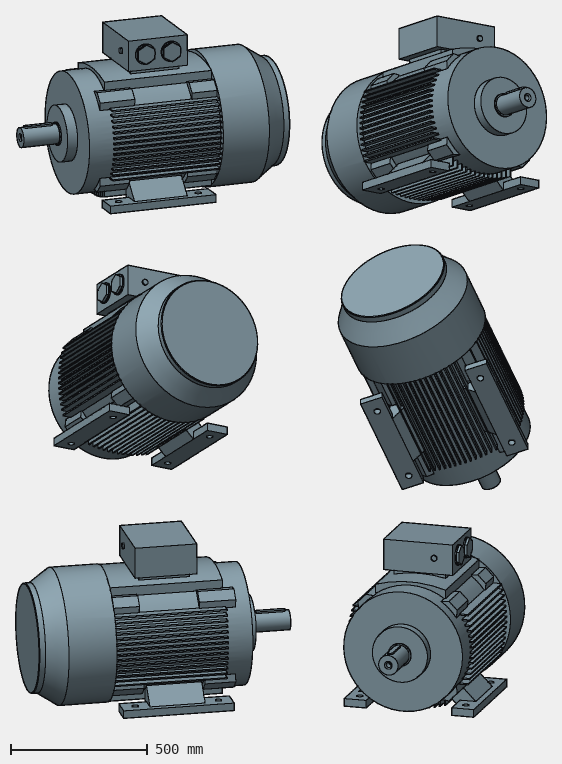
import cadquery as cq
import math


SHAFT_LENGTH = 140.0
SHOULDER_WIDTH = 5.0
SHIELD_FRONT_Y = 44.0
FIN_FRONT_Y = 138.0
COWL_FRONT_Y = 558.0
CONE_START_Y = 739.0
CONE_END_Y = 815.0
OVERALL_LENGTH = 979.5
COWL_REAR_Y = OVERALL_LENGTH - SHAFT_LENGTH

BODY_RADIUS = 227.0
BOSS_RADIUS = 211.0 / 2
COWL_RADIUS = 508.0 / 2
LIP_RADIUS = 406.5 / 2
LIP_CHAMFER = 3.0

CROWN_WIDTH = 268.0
CROWN_EDGE_HEIGHT = 219.0
CROWN_TOP_HEIGHT = 240.0
FIN_COUNT = 14
FIN_THICKNESS = 5.0
FIN_PITCH = (CROWN_WIDTH - FIN_THICKNESS) / (FIN_COUNT - 1)
FINNED_SIDE_ANGLES = (90, 180, 270)

LUG_REACH = 190.0
LUG_CHAMFER = 31.0
LUG_ROOT_REACH = 187.0
LUG_ROOT_OFFSET = 129.0
LUG_FRONT_Y = 100.0
UPPER_LUG_ENDS = (236.0, 460.0)
LOWER_LUG_ENDS = (215.5, 443.0)

FOOT_BOTTOM_Z = -250.0
FOOT_THICKNESS = 29.0
FOOT_INNER_X = 164.0
FOOT_OUTER_X = 248.0
FOOT_LENGTH = 414.0
FOOT_CENTRE_Y = 325.0
FOOT_HOLE_DIAMETER = 23.5
FOOT_HOLE_X = 203.0
FOOT_HOLE_SPACING = 311.0
FOOT_HOLE_CENTRE_Y = 323.0
LEG_OUTER_X = 224.0
LEG_LENGTH = 207.0
LEG_RISE = 127.0

BOX_WIDTH = 264.0
BOX_LENGTH = 231.0
BOX_CENTRE_Y = 349.0
BOX_BOTTOM_Z = 249.0
OVERALL_HEIGHT = 619.0
BOX_TOP_Z = OVERALL_HEIGHT - COWL_RADIUS
PEDESTAL_WIDTH = 198.0
PEDESTAL_LENGTH = 189.0
FITTING_Z = 310.0
SCREW_X = 62.0
SCREW_RADIUS = 11.0
SCREW_HEIGHT = 6.0

GLAND_SPACING = 101.0
GLAND_DIAMETER = 76.0
GLAND_NUT_DIAMETER = 74.0
GLAND_FLANGE_THICKNESS = 5.0
GLAND_NUT_THICKNESS = 10.0

SHAFT_RADIUS = 37.0
SHOULDER_RADIUS = 43.0
KEY_WIDTH = 20.0
KEY_LENGTH = 113.0
KEY_TOP_Z = 42.0
KEY_CENTRE_Y = -71.0
CENTRE_HOLE_RADIUS = 10.0
CENTRE_HOLE_DEPTH = 39.0
CENTRE_CONE_RADIUS = 15.0
CENTRE_CONE_DEPTH = 5.0
DRILL_TIP_SLOPE = 30
DRILL_TIP_DEPTH = CENTRE_HOLE_RADIUS * math.tan(math.radians(DRILL_TIP_SLOPE))


def box_between(x_range, y_range, z_range):
    """A block spanning the given ranges."""
    size = [high - low for low, high in (x_range, y_range, z_range)]
    corner = (x_range[0], y_range[0], z_range[0])
    return cq.Workplane("XY").box(*size, centered=False).translate(corner)


def along_y(outline, y_start, y_end):
    """Extrude an outline drawn on the XZ plane from y_start to y_end."""
    return outline.extrude(-(y_end - y_start)).translate((0, y_start, 0))


def turned_casing():
    """End shield, boss, stator core and fan cowl, turned about the motor axis."""
    return (
        cq.Workplane("YZ")
        .moveTo(SHOULDER_WIDTH, 0)
        .lineTo(SHOULDER_WIDTH, BOSS_RADIUS)
        .lineTo(SHIELD_FRONT_Y, BOSS_RADIUS)
        .lineTo(SHIELD_FRONT_Y, BODY_RADIUS)
        .lineTo(COWL_FRONT_Y, BODY_RADIUS)
        .lineTo(COWL_FRONT_Y, COWL_RADIUS)
        .lineTo(CONE_START_Y, COWL_RADIUS)
        .lineTo(CONE_END_Y, LIP_RADIUS)
        .lineTo(COWL_REAR_Y - LIP_CHAMFER, LIP_RADIUS)
        .lineTo(COWL_REAR_Y, LIP_RADIUS - LIP_CHAMFER)
        .lineTo(COWL_REAR_Y, 0)
        .close()
        .revolve(360, (0, 0, 0), (1, 0, 0))
    )


def top_plate():
    """Solid crowned plate on top of the stator core."""
    half = CROWN_WIDTH / 2
    outline = (
        cq.Workplane("XZ")
        .moveTo(-half, 0)
        .lineTo(-half, CROWN_EDGE_HEIGHT)
        .threePointArc((0, CROWN_TOP_HEIGHT), (half, CROWN_EDGE_HEIGHT))
        .lineTo(half, 0)
        .close()
    )
    return along_y(outline, FIN_FRONT_Y, COWL_FRONT_Y)


def fin_bank():
    """Upright fins whose tips follow the crown of the top plate."""
    fin_length = COWL_FRONT_Y - FIN_FRONT_Y
    slabs = (
        cq.Workplane("XY")
        .center(0, FIN_FRONT_Y + fin_length / 2)
        .rarray(FIN_PITCH, 10, FIN_COUNT, 1)
        .rect(FIN_THICKNESS, fin_length)
        .extrude(CROWN_TOP_HEIGHT)
    )
    return slabs.intersect(top_plate())


def lug_pair(y_start, y_end, side):
    """Left and right corner lugs, above the axis for side = 1 and below it for side = -1."""
    flat = LUG_REACH - LUG_CHAMFER
    corner = [
        (LUG_ROOT_REACH, LUG_ROOT_OFFSET),
        (LUG_REACH, flat),
        (flat, LUG_REACH),
        (LUG_ROOT_OFFSET, LUG_ROOT_REACH),
    ]
    right_points = [(x, side * z) for x, z in corner]
    left_points = [(-x, z) for x, z in reversed(right_points)]
    outline = cq.Workplane("XZ").polyline(right_points + left_points).close()
    return along_y(outline, y_start, y_end)


def left_foot():
    """Foot bar with two bolt holes, and the leg that rises from it at 45 degrees."""
    top_z = FOOT_BOTTOM_Z + FOOT_THICKNESS
    bar = box_between(
        (-FOOT_OUTER_X, -FOOT_INNER_X),
        (FOOT_CENTRE_Y - FOOT_LENGTH / 2, FOOT_CENTRE_Y + FOOT_LENGTH / 2),
        (FOOT_BOTTOM_Z, top_z),
    )
    holes = (
        cq.Workplane("XY", origin=(-FOOT_HOLE_X, FOOT_HOLE_CENTRE_Y, FOOT_BOTTOM_Z))
        .rarray(10, FOOT_HOLE_SPACING, 1, 2)
        .circle(FOOT_HOLE_DIAMETER / 2)
        .extrude(FOOT_THICKNESS)
    )
    leg_outline = cq.Workplane("XZ").polyline([
        (-FOOT_INNER_X, FOOT_BOTTOM_Z),
        (-LEG_OUTER_X, top_z),
        (-LEG_OUTER_X + LEG_RISE, top_z + LEG_RISE),
        (-FOOT_INNER_X + LEG_RISE, FOOT_BOTTOM_Z + LEG_RISE),
    ]).close()
    leg = along_y(leg_outline, FOOT_CENTRE_Y - LEG_LENGTH / 2, FOOT_CENTRE_Y + LEG_LENGTH / 2)
    return bar.union(leg).cut(holes)


def cable_gland(y):
    """Round flange and hexagon nut standing on the +X wall of the box."""
    flange = (
        cq.Workplane("YZ", origin=(BOX_WIDTH / 2, y, FITTING_Z))
        .circle(GLAND_DIAMETER / 2)
        .extrude(GLAND_FLANGE_THICKNESS)
    )
    return (
        flange.faces(">X")
        .workplane(origin=(0, y, FITTING_Z))
        .transformed(rotate=(0, 0, 90))
        .polygon(6, GLAND_NUT_DIAMETER)
        .extrude(GLAND_NUT_THICKNESS)
    )


def terminal_box():
    """Box on its pedestal, with a screw on each end and two cable glands."""
    box = (
        cq.Workplane("XY", origin=(0, BOX_CENTRE_Y, BOX_BOTTOM_Z))
        .rect(BOX_WIDTH, BOX_LENGTH)
        .extrude(BOX_TOP_Z - BOX_BOTTOM_Z)
    )
    pedestal = (
        cq.Workplane("XY", origin=(0, BOX_CENTRE_Y, 0))
        .rect(PEDESTAL_WIDTH, PEDESTAL_LENGTH)
        .extrude(BOX_BOTTOM_Z)
    )
    screw_reach = BOX_LENGTH / 2 + SCREW_HEIGHT
    screws = along_y(
        cq.Workplane("XZ").center(SCREW_X, FITTING_Z).circle(SCREW_RADIUS),
        BOX_CENTRE_Y - screw_reach,
        BOX_CENTRE_Y + screw_reach,
    )
    box = box.union(pedestal).union(screws)
    for side in (-1, 1):
        box = box.union(cable_gland(BOX_CENTRE_Y + side * GLAND_SPACING / 2))
    return box


def motor_housing():
    housing = turned_casing().union(top_plate())
    for angle in FINNED_SIDE_ANGLES:
        housing = housing.union(fin_bank().rotate((0, 0, 0), (0, 1, 0), angle))
    for side, (front_end, rear_start) in ((1, UPPER_LUG_ENDS), (-1, LOWER_LUG_ENDS)):
        housing = housing.union(lug_pair(LUG_FRONT_Y, front_end, side))
        housing = housing.union(lug_pair(rear_start, COWL_FRONT_Y, side))
    foot = left_foot()
    return housing.union(foot).union(foot.mirror("YZ")).union(terminal_box())


def motor_shaft():
    """Shaft end with its shoulder, centre hole and key."""
    turned = (
        cq.Workplane("XY")
        .moveTo(0, SHOULDER_WIDTH)
        .lineTo(-SHOULDER_RADIUS, SHOULDER_WIDTH)
        .lineTo(-SHOULDER_RADIUS, 0)
        .lineTo(-SHAFT_RADIUS, 0)
        .lineTo(-SHAFT_RADIUS, -SHAFT_LENGTH)
        .lineTo(-CENTRE_CONE_RADIUS, -SHAFT_LENGTH)
        .lineTo(-CENTRE_HOLE_RADIUS, CENTRE_CONE_DEPTH - SHAFT_LENGTH)
        .lineTo(-CENTRE_HOLE_RADIUS, CENTRE_HOLE_DEPTH - SHAFT_LENGTH)
        .lineTo(0, CENTRE_HOLE_DEPTH + DRILL_TIP_DEPTH - SHAFT_LENGTH)
        .close()
        .revolve(360, (0, 0, 0), (0, 1, 0))
    )
    key_base_z = SHAFT_RADIUS - KEY_WIDTH / 2
    key = (
        cq.Workplane("XY", origin=(0, KEY_CENTRE_Y, key_base_z))
        .slot2D(KEY_LENGTH, KEY_WIDTH, 90)
        .extrude(KEY_TOP_Z - key_base_z)
    )
    return turned.union(key)


housing = motor_housing()
shaft = motor_shaft()
result = cq.Compound.makeCompound([housing.val(), shaft.val()])